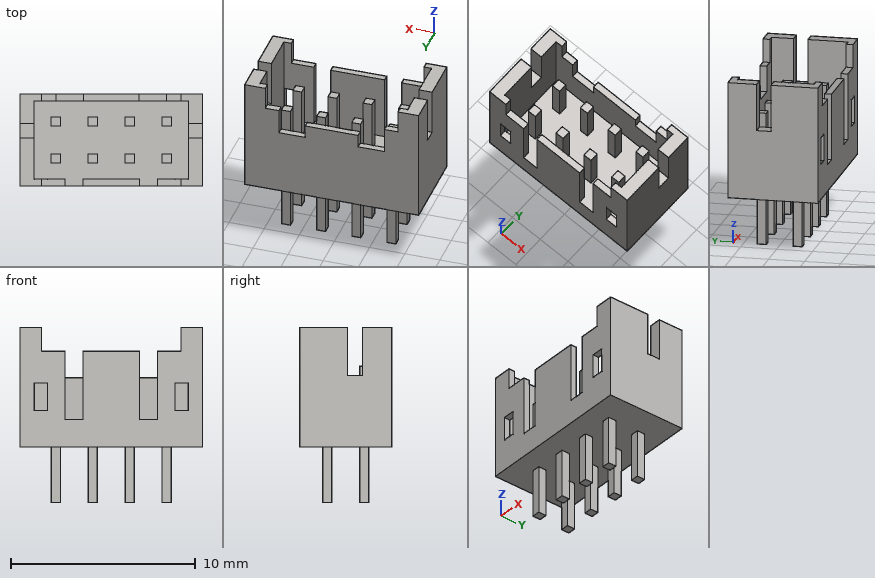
import cadquery as cq

length = 9.9
width = 5.0
height = 6.49
end_wall = 0.75
side_wall = 0.39
floor = 1.5

corner_length = 1.18
shoulder_drop = 1.3

front_slot_inner = 1.53
front_slot_outer = 2.49
rear_slot_inner = 1.5
rear_slot_outer = 3.0
rear_slot_bottom = 3.76
rear_tab_top = 4.5

window_inner = 3.45
window_outer = 4.17
window_bottom = 1.99
window_top = 3.47

key_slot_near = 0.1
key_slot_far = 0.9
key_slot_depth = 2.6

pin_columns = 4
pin_rows = 2
pin_pitch = 2.0
pin_side = 0.5
pin_top = 4.4
pin_tail = 3.01

cavity_half_length = length / 2 - end_wall
cavity_half_width = width / 2 - side_wall
front_wall_y = (-width / 2, -cavity_half_width)
rear_wall_y = (cavity_half_width, width / 2)


def block(x_range, y_range, z_range):
    """Box filling the given (low, high) range on each axis."""
    low, high = zip(x_range, y_range, z_range)
    size = [b - a for a, b in zip(low, high)]
    return cq.Workplane("XY").box(*size, centered=False).translate(low)


def mirrored_pair(inner_x, outer_x, y_range, z_range):
    """Two equal boxes placed symmetrically about X = 0."""
    right = block((inner_x, outer_x), y_range, z_range)
    left = block((-outer_x, -inner_x), y_range, z_range)
    return right.union(left)


def make_housing():
    full_x = (-length / 2, length / 2)
    full_y = (-width / 2, width / 2)
    cavity_x = (-cavity_half_length, cavity_half_length)
    cavity_y = (-cavity_half_width, cavity_half_width)
    housing = block(full_x, full_y, (0, height))
    housing = housing.cut(block(cavity_x, cavity_y, (floor, height)))

    opening_half = length / 2 - corner_length
    opening_x = (-opening_half, opening_half)
    housing = housing.cut(block(opening_x, full_y, (height - shoulder_drop, height)))

    front_slot_z = (floor, height)
    housing = housing.cut(mirrored_pair(front_slot_inner, front_slot_outer, front_wall_y, front_slot_z))
    rear_slot_z = (rear_slot_bottom, height)
    housing = housing.cut(mirrored_pair(rear_slot_inner, rear_slot_outer, rear_wall_y, rear_slot_z))

    rear_tab_x = (-rear_slot_inner, rear_slot_inner)
    housing = housing.cut(block(rear_tab_x, rear_wall_y, (rear_tab_top, height)))

    window_z = (window_bottom, window_top)
    housing = housing.cut(mirrored_pair(window_inner, window_outer, front_wall_y, window_z))

    key_slot_y = (key_slot_near, key_slot_far)
    return housing.cut(block(full_x, key_slot_y, (height - key_slot_depth, height)))


def make_pins():
    return (
        cq.Workplane("XY", origin=(0, 0, -pin_tail))
        .rarray(pin_pitch, pin_pitch, pin_columns, pin_rows)
        .rect(pin_side, pin_side)
        .extrude(pin_tail + pin_top)
    )


result = make_housing().union(make_pins())